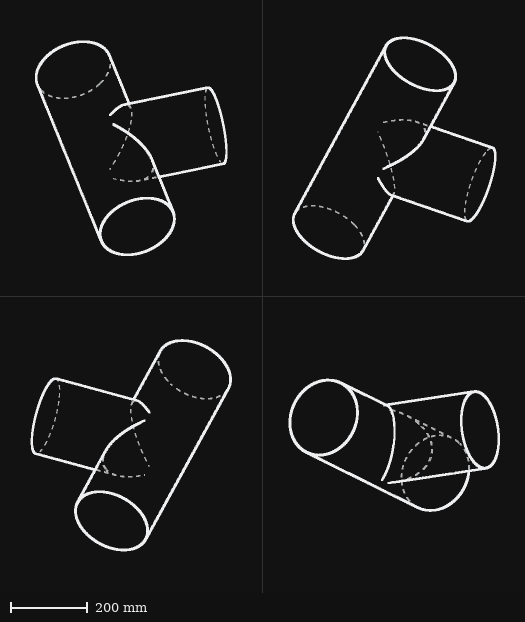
import cadquery as cq

run_length = 600.0
branch_reach = run_length / 2
outer_diameter = 204.0
bore_diameter = 200.0


def tee_body(diameter):
    """Solid tee of one diameter, with both axes meeting at the origin."""
    run = (
        cq.Workplane("YZ")
        .circle(diameter / 2)
        .extrude(run_length / 2, both=True)
    )
    branch = (
        cq.Workplane("XZ")
        .circle(diameter / 2)
        .extrude(-branch_reach)
    )
    return run.union(branch)


result = tee_body(outer_diameter).cut(tee_body(bore_diameter))